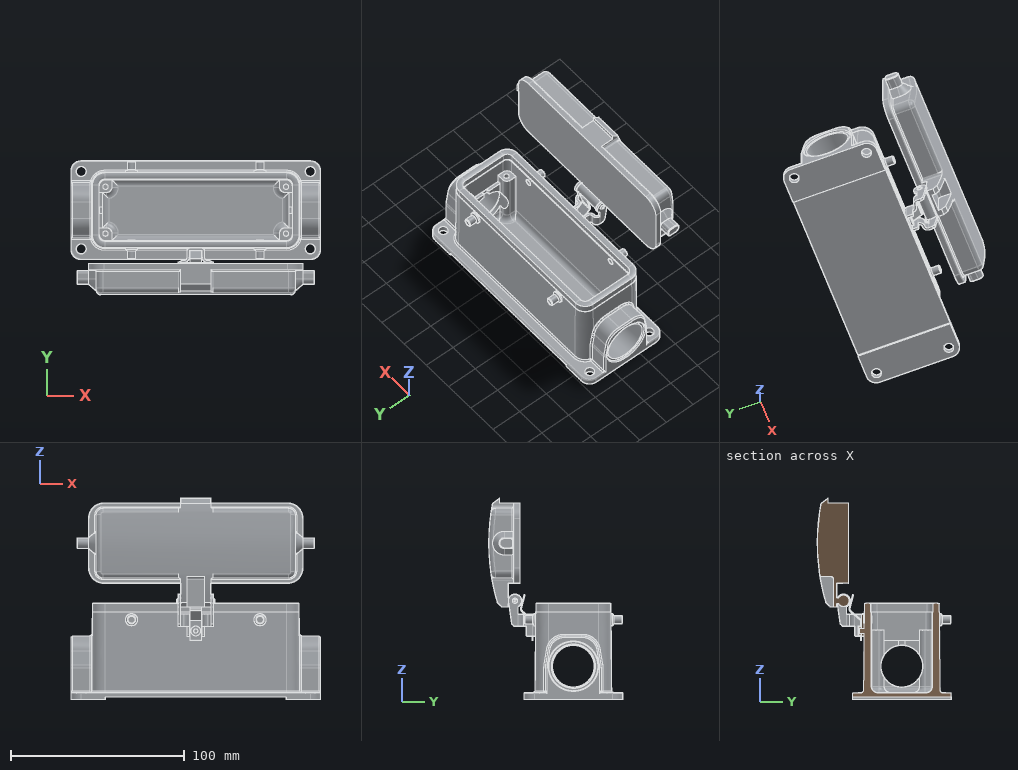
import cadquery as cq
import math

base_length = 144.0
base_width = 57.0
base_thickness = 4.0
base_corner_radius = 6.0
base_edge_radius = 0.5
foot_inner_x = 52.0
underside_relief = 1.4
mount_hole_diameter = 5.6
mount_hole_x = 66.0
mount_hole_y = 22.3

wall_length = 120.0
wall_width = 44.3
wall_corner_radius = 7.7
wall_draft = 0.5
wall_foot_radius = 0.9
rim_step_z = 50.4
rim_length = 119.0
rim_width = 43.2
housing_top = 55.75
rim_corner_radius = 7.2
rim_thickness = 3.7
rim_crown = 0.4

cavity_length = 111.2
cavity_width = 35.0
cavity_corner_radius = 3.5
lower_corner_radius = 3.7
cavity_floor_z = 4.0
floor_fillet = 3.6
ledge_x = 53.7
ledge_top = 34.0
ledge_slot_width = 3.6
ledge_slot_depth = 1.7

boss_x = 52.0
boss_y = 13.5
boss_top = 40.0
boss_inner_x = 48.3
boss_inner_y = 10.2
boss_corner_radius = 3.0
boss_hole_diameter = 3.05
boss_hole_depth = 12.0

hub_half_width = 16.1
hub_vertical_top = 18.1
hub_side_flat_top = 19.9
hub_shoulder_y = 14.6
hub_shoulder_z = 28.0
hub_flat_half = 4.65
hub_top = 36.6
hub_chamfer = 0.9
hub_flare = 1.0
hub_foot = 0.9
bore_z = 19.2
bore_mouth_diameter = 29.0
bore_mouth_inner_diameter = 28.3
bore_mouth_depth = 1.0
bore_diameter = 25.5
bore_step_x = 56.6
bore_wall_diameter = 24.0

peg_x = 37.0
peg_z = 46.0
peg_tip_y = 28.3
peg_diameter = 4.8
peg_tip_diameter = 4.0
peg_collar_diameter = 7.0
peg_inner_diameter = 4.0
peg_inner_proud = 0.2
peg_collar_end_y = 22.6
peg_cone_end_y = 23.4

lid_back_y = -30.7
lid_flange_front_y = -34.5
lid_apex_y = -48.79
lid_face_radius = 120.0
lid_center_z = 90.1
lid_flange_length = 123.6
lid_flange_height = 46.4
lid_flange_radius = 9.0
lid_flange_edge = 0.4
lid_body_length = 114.8
lid_body_height = 40.2
lid_body_radius = 4.0
lid_face_fillet = 2.7
lid_step = 0.8

lid_tab_width = 17.4
lid_tab_fillet = 1.2
hook_tip_y = -42.5
hook_tip_z = 116.08
hook_root_z = 112.9
arm_back_y = -37.4
arm_bottom_z = 53.3
arm_corner_radius = 2.5
arm_groove_width = 10.2
arm_groove_top = 70.8
arm_groove_floor_y = -39.4
arm_groove_fillet = 1.6

lid_pin_end_x = 68.5
lid_pin_radius = 3.1
lid_pin_y = -39.7
lid_pin_back_y = -34.7
lid_pin_back_radius = 1.5
lid_pin_chamfer = 0.4
lid_pin_cone_radius = 7.6
lid_pin_cone_start_x = 56.5
lid_pin_cone_end_x = 61.8

hinge_y = -33.6
hinge_z = 56.9
hinge_pin_diameter = 3.0
hinge_pin_half_length = 11.0
hinge_pin_chamfer = 0.8
knuckle_radius = 3.4
ear_radius = 3.87

sheet = 1.45
bracket_back_y = -21.9
channel_half_width = 5.1
channel_bottom = 36.4
wing_back_y = -28.8
wing_bottom = 42.2
wing_top = 49.2
ear_outer_x = 10.15
ear_front_y = -35.6
sheet_bend = 1.6
channel_front_y = wing_back_y + sheet_bend
ear_back_y = wing_back_y - sheet - sheet_bend
ear_toe_chamfer = 1.4

spring_half_width = 3.4
spring_sheet = 0.6
spring_bottom = 34.2
spring_foot_top = 45.8
spring_knee_y = -29.9
spring_knee_z = 51.2
spring_turn_y = -30.2
spring_turn_z = 52.2
spring_tip_y = -28.2
spring_tip_z = 60.1
rivet_z = 39.5
rivet_diameter = 3.0
rivet_head_diameter = 5.6
rivet_head_height = 1.2
rivet_dimple_diameter = 2.4
rivet_dimple_depth = 0.6


def rounded_block(length, width, radius, bottom, height, taper=0):
    """Upright block with rounded vertical corners."""
    outline = cq.Workplane("XY").workplane(offset=bottom).sketch().rect(length, width)
    return outline.vertices().fillet(radius).finalize().extrude(height, taper=taper)


def front_block(length, height, radius, back_y, front_y, taper=0):
    """Block with rounded corners in XZ, centred on the lid and reaching toward -Y."""
    outline = cq.Workplane("XZ", origin=(0, back_y, lid_center_z)).sketch().rect(length, height)
    return outline.vertices().fillet(radius).finalize().extrude(back_y - front_y, taper=taper)


def y_cylinder(x, z, diameter, start_y, end_y):
    """Cylinder along Y between two Y values."""
    disc = cq.Workplane("XZ", origin=(x, start_y, z)).circle(diameter / 2)
    return disc.extrude(start_y - end_y)


def housing_shell():
    base = rounded_block(base_length, base_width, base_corner_radius, 0, base_thickness)
    base = base.faces(">Z").edges().fillet(base_edge_radius)
    relief = cq.Workplane("XY").box(2 * foot_inner_x, base_width, underside_relief,
                                    centered=(True, True, False))
    wall = rounded_block(wall_length, wall_width, wall_corner_radius, base_thickness,
                         rim_step_z - base_thickness, wall_draft)
    foot = rounded_block(wall_length + 2 * wall_foot_radius, wall_width + 2 * wall_foot_radius,
                         wall_corner_radius + wall_foot_radius, base_thickness, wall_foot_radius, 45)
    return base.cut(relief).union(wall).union(foot)


def housing_rim():
    """Ring on top of the walls, with a shallow rounded crown."""
    middle_y = (rim_width - rim_thickness) / 2
    path_radius = rim_corner_radius - rim_thickness / 2
    path = cq.Workplane("XY", origin=(0, 0, rim_step_z)).sketch()
    path = path.rect(rim_length - rim_thickness, rim_width - rim_thickness).vertices().fillet(path_radius)
    path = path.finalize().extrude(1).faces("<Z").wires()
    edge_z = housing_top - rim_crown
    profile = (
        cq.Workplane("YZ", origin=(0, middle_y, 0))
        .moveTo(-rim_thickness / 2, rim_step_z)
        .lineTo(rim_thickness / 2, rim_step_z)
        .lineTo(rim_thickness / 2, edge_z)
        .threePointArc((0, housing_top), (-rim_thickness / 2, edge_z))
        .close()
    )
    return profile.sweep(path)


def housing_cavity():
    """Hollow of the housing below the rim, with the corner bosses left standing."""
    upper = rounded_block(cavity_length, cavity_width, cavity_corner_radius, ledge_top,
                          rim_step_z - ledge_top)
    lower = rounded_block(2 * ledge_x, cavity_width, lower_corner_radius, cavity_floor_z,
                          ledge_top - cavity_floor_z)
    lower = lower.faces("<Z").edges().fillet(floor_fillet)
    return lower.union(upper).cut(corner_bosses())


def ledge_slot(side):
    slot = cq.Workplane("XY").box(ledge_slot_depth, ledge_slot_width, ledge_top - bore_z,
                                  centered=(True, True, False))
    return slot.translate((side * (ledge_x + ledge_slot_depth / 2), 0, bore_z))


def corner_bosses():
    """Screw bosses for the four inner corners, each on a floor pad with a fillet at its foot."""
    size_x = 2 * (boss_x - boss_inner_x) + boss_corner_radius
    size_y = 2 * (boss_y - boss_inner_y) + boss_corner_radius
    boss = rounded_block(size_x, size_y, boss_corner_radius, cavity_floor_z, boss_top - cavity_floor_z)
    pad = cq.Workplane("XY").box(size_x + 3 * floor_fillet, size_y + 3 * floor_fillet, cavity_floor_z,
                                 centered=(True, True, False))
    boss = pad.union(boss)
    foot = cq.selectors.BoxSelector((-size_x / 2 - 1, -size_y / 2 - 1, cavity_floor_z - 1),
                                    (size_x / 2 + 1, size_y / 2 + 1, cavity_floor_z + 1))
    boss = boss.edges(foot).fillet(floor_fillet)
    bosses = cq.Workplane("XY")
    for side_x in (-1, 1):
        for side_y in (-1, 1):
            center_x = side_x * (boss_inner_x + size_x / 2)
            center_y = side_y * (boss_inner_y + size_y / 2)
            bosses = bosses.add(boss.translate((center_x, center_y, 0)))
    return bosses.combine()


def boss_holes():
    plane = cq.Workplane("XY", origin=(0, 0, boss_top))
    points = plane.rect(2 * boss_x, 2 * boss_y, forConstruction=True).vertices()
    return points.circle(boss_hole_diameter / 2).extrude(-boss_hole_depth)


def hub_outline(plane):
    """Closed arch-shaped outline of the cable entry hub."""
    corner = math.sqrt(0.5)
    arc_y = hub_flat_half + (hub_shoulder_y - hub_flat_half) * corner
    arc_z = hub_shoulder_z + (hub_top - hub_shoulder_z) * corner
    lean = (hub_half_width - hub_shoulder_y) / (hub_shoulder_z - hub_vertical_top)
    side_y = hub_half_width - lean * (hub_side_flat_top - hub_vertical_top) / 2
    return (
        plane.moveTo(-hub_half_width, 0)
        .lineTo(-hub_half_width, hub_vertical_top)
        .lineTo(-side_y, hub_side_flat_top)
        .lineTo(-hub_shoulder_y, hub_shoulder_z)
        .threePointArc((-arc_y, arc_z), (-hub_flat_half, hub_top))
        .lineTo(hub_flat_half, hub_top)
        .threePointArc((arc_y, arc_z), (hub_shoulder_y, hub_shoulder_z))
        .lineTo(side_y, hub_side_flat_top)
        .lineTo(hub_half_width, hub_vertical_top)
        .lineTo(hub_half_width, 0)
        .close()
    )


def cable_hub():
    """Hub on the +X end."""
    start_x = cavity_length / 2 + 1
    end_x = base_length / 2
    hub = hub_outline(cq.Workplane("YZ", origin=(start_x, 0, 0))).extrude(end_x - start_x)
    hub = hub.faces(">X").edges("not <Z").chamfer(hub_chamfer)
    flare = hub_outline(cq.Workplane("YZ", origin=(wall_length / 2, 0, 0))).offset2D(hub_flare)
    flare = flare.extrude(hub_flare, taper=45)
    foot = (
        cq.Workplane("YZ", origin=(start_x, 0, base_thickness))
        .moveTo(-hub_half_width - hub_foot, 0)
        .lineTo(-hub_half_width, hub_foot)
        .lineTo(hub_half_width, hub_foot)
        .lineTo(hub_half_width + hub_foot, 0)
        .close()
        .extrude(end_x - start_x - base_edge_radius)
    )
    below = cq.Workplane("XY").box(base_length, base_width, 2 * underside_relief)
    return hub.union(flare.cut(below)).union(foot)


def cable_bore():
    """Stepped bore of the +X cable entry, wide mouth outside."""
    end_x = base_length / 2
    plane = cq.Workplane("YZ", origin=(0, 0, bore_z))
    bore = plane.workplane(offset=boss_inner_x).circle(bore_wall_diameter / 2).extrude(end_x - boss_inner_x)
    wide = plane.workplane(offset=bore_step_x).circle(bore_diameter / 2).extrude(end_x - bore_step_x)
    mouth = plane.workplane(offset=end_x - bore_mouth_depth).circle(bore_mouth_inner_diameter / 2)
    mouth = mouth.workplane(offset=bore_mouth_depth).circle(bore_mouth_diameter / 2).loft()
    return bore.union(wide).union(mouth)


def latch_peg(x, side):
    """Latch peg with a collar on the long wall; side is the sign of Y."""
    inner_end = cavity_width / 2 - peg_inner_proud
    root = rim_width / 2 - rim_thickness / 2
    chamfer = (peg_diameter - peg_tip_diameter) / 2
    profile = [
        (0, inner_end),
        (peg_inner_diameter / 2, inner_end),
        (peg_inner_diameter / 2, root),
        (peg_collar_diameter / 2, root),
        (peg_collar_diameter / 2, peg_collar_end_y),
        (peg_diameter / 2, peg_cone_end_y),
        (peg_diameter / 2, peg_tip_y - chamfer),
        (peg_tip_diameter / 2, peg_tip_y),
        (0, peg_tip_y),
    ]
    peg = cq.Workplane("XY").polyline(profile).close().revolve(360, (0, 0, 0), (0, 1, 0))
    if side < 0:
        peg = peg.mirror("XZ")
    return peg.translate((x, 0, peg_z))


def bracket_rivet():
    """Headed rivet on the front wall that holds the bracket and the spring."""
    seat_y = bracket_back_y - sheet - spring_sheet
    shank = y_cylinder(0, rivet_z, rivet_diameter, -cavity_width / 2, seat_y)
    head_y = seat_y - rivet_head_height
    head = y_cylinder(0, rivet_z, rivet_head_diameter, seat_y, head_y)
    dimple = y_cylinder(0, rivet_z, rivet_dimple_diameter, head_y + rivet_dimple_depth, head_y)
    return shank.union(head).cut(dimple)


def make_housing():
    housing = housing_shell()
    hub = cable_hub()
    housing = housing.union(hub).union(hub.mirror("YZ"))
    housing = housing.cut(housing_cavity()).union(housing_rim()).cut(boss_holes())
    for side in (-1, 1):
        housing = housing.cut(ledge_slot(side))
    bore = cable_bore()
    housing = housing.cut(bore).cut(bore.mirror("YZ"))
    holes = cq.Workplane("XY").rect(2 * mount_hole_x, 2 * mount_hole_y, forConstruction=True).vertices()
    housing = housing.cut(holes.circle(mount_hole_diameter / 2).extrude(base_thickness))
    for x in (-peg_x, peg_x):
        for side in (-1, 1):
            housing = housing.union(latch_peg(x, side))
    return housing.union(bracket_rivet())


def lid_face_y(z):
    """Y of the arched lid face at height z."""
    rise = math.sqrt(lid_face_radius ** 2 - (z - lid_center_z) ** 2)
    return lid_apex_y + lid_face_radius - rise


def face_arch():
    """Wide cylinder along X whose -Y side is the arched lid face."""
    center_y = lid_apex_y + lid_face_radius
    arch = cq.Workplane("YZ", origin=(-lid_body_length, center_y, lid_center_z)).circle(lid_face_radius)
    return arch.extrude(2 * lid_body_length)


def lid_body():
    outline = front_block(lid_body_length, lid_body_height, lid_body_radius,
                          lid_flange_front_y, lid_apex_y - 1)
    body = outline.intersect(face_arch())
    return body.faces("<Y").edges().fillet(lid_face_fillet)


def lid_tab():
    """Hook, middle band and hinge arm, one constant profile across X."""
    flange_top = lid_center_z + lid_flange_height / 2
    flange_bottom = lid_center_z - lid_flange_height / 2
    arm_front_z = arm_bottom_z + arm_corner_radius
    arm_front_y = lid_face_y(arm_front_z)
    return (
        cq.Workplane("YZ", origin=(-lid_tab_width / 2, 0, 0))
        .moveTo(lid_back_y, flange_top)
        .lineTo(hook_tip_y, flange_top)
        .lineTo(hook_tip_y, hook_tip_z)
        .lineTo(lid_face_y(hook_root_z), hook_root_z)
        .threePointArc((lid_apex_y, lid_center_z), (arm_front_y, arm_front_z))
        .lineTo(arm_front_y + arm_corner_radius, arm_bottom_z)
        .lineTo(arm_back_y, arm_bottom_z)
        .lineTo(arm_back_y, flange_bottom)
        .lineTo(lid_back_y, flange_bottom)
        .close()
        .extrude(lid_tab_width)
    )


def arm_groove():
    """Groove down the front of the hinge arm, rounded at its upper inner edge."""
    groove_height = arm_groove_top - arm_bottom_z
    groove_depth = arm_groove_floor_y - lid_apex_y
    groove = cq.Workplane("XY").box(arm_groove_width, groove_depth, groove_height)
    groove = groove.edges(">Y and >Z").fillet(arm_groove_fillet)
    groove_center = (0, (arm_groove_floor_y + lid_apex_y) / 2, arm_bottom_z + groove_height / 2)
    return groove.translate(groove_center)


def lid_pin_outline(plane, radius):
    """Half-round outline with straight sides running back to the flange."""
    return (
        plane.moveTo(lid_pin_back_y, lid_center_z - radius)
        .lineTo(lid_pin_y, lid_center_z - radius)
        .threePointArc((lid_pin_y - radius, lid_center_z), (lid_pin_y, lid_center_z + radius))
        .lineTo(lid_pin_back_y, lid_center_z + radius)
        .close()
    )


def lid_pin():
    """Latch pin with its conical root on the +X end of the lid."""
    pin = lid_pin_outline(cq.Workplane("YZ", origin=(lid_pin_cone_start_x, 0, 0)), lid_pin_radius)
    pin = pin.extrude(lid_pin_end_x - lid_pin_cone_start_x)
    pin = pin.edges("|X and >Y").fillet(lid_pin_back_radius)
    pin = pin.faces(">X").edges().chamfer(lid_pin_chamfer)
    root = lid_pin_outline(cq.Workplane("YZ", origin=(lid_pin_cone_start_x, 0, 0)), lid_pin_cone_radius)
    root = root.workplane(offset=lid_pin_cone_end_x - lid_pin_cone_start_x)
    root = lid_pin_outline(root, lid_pin_radius).loft(ruled=True)
    return pin.union(root)


def lid_hinge():
    """Knuckle between the bracket ears, with the pin that passes through them."""
    knuckle = cq.Workplane("YZ", origin=(-lid_tab_width / 2, hinge_y, hinge_z)).circle(knuckle_radius)
    knuckle = knuckle.extrude(lid_tab_width)
    web = cq.Workplane("XY").box(lid_tab_width, hinge_y - arm_groove_floor_y, knuckle_radius)
    web = web.translate((0, (hinge_y + arm_groove_floor_y) / 2, hinge_z))
    pin = cq.Workplane("YZ", origin=(-hinge_pin_half_length, hinge_y, hinge_z)).circle(hinge_pin_diameter / 2)
    pin = pin.extrude(2 * hinge_pin_half_length)
    pin = pin.faces("<X or >X").edges().chamfer(hinge_pin_chamfer)
    return knuckle.union(web).union(pin)


def tab_blend():
    """Thin band that fillets the tab sides into the top and bottom of the body."""
    half_x = lid_tab_width / 2 + lid_tab_fillet
    half_z = lid_body_height / 2 + lid_tab_fillet
    depth = lid_flange_front_y - lid_apex_y
    plane = cq.Workplane("XZ", origin=(0, lid_flange_front_y, lid_center_z))
    band = plane.rect(2 * half_x, 2 * half_z).extrude(depth)
    corners = plane.rect(2 * half_x, 2 * half_z, forConstruction=True).vertices()
    band = band.cut(corners.circle(lid_tab_fillet).extrude(depth))
    return band.intersect(face_arch())


def make_lid():
    flange = front_block(lid_flange_length, lid_flange_height, lid_flange_radius,
                         lid_back_y, lid_flange_front_y)
    flange = flange.faces("<Y").edges().fillet(lid_flange_edge)
    step = front_block(lid_body_length + 2 * lid_step, lid_body_height + 2 * lid_step,
                       lid_body_radius + lid_step, lid_flange_front_y, lid_flange_front_y - lid_step, 45)
    pin = lid_pin()
    lid = flange.union(step)
    lid = lid.union(lid_body()).union(tab_blend()).union(lid_tab()).cut(arm_groove())
    return lid.union(pin).union(pin.mirror("YZ")).union(lid_hinge())


def bracket_channel():
    depth = bracket_back_y - channel_front_y
    outer = cq.Workplane("XY").box(2 * channel_half_width, depth, wing_top - channel_bottom)
    outer = outer.edges("|Z and >Y").fillet(sheet_bend)
    outer = outer.edges("|X and <Y and <Z").fillet(sheet_bend / 2)
    inner = cq.Workplane("XY").box(2 * (channel_half_width - sheet), depth, wing_top)
    channel = outer.cut(inner.translate((0, -sheet, 0)))
    return channel.translate((0, bracket_back_y - depth / 2, (wing_top + channel_bottom) / 2))


def bracket_wing():
    """Wing on the +X side: from the channel wall outward and round to the ear."""
    inner_x = channel_half_width - sheet
    wing_front_y = wing_back_y - sheet
    large_bend = sheet_bend + sheet
    bend_y = channel_front_y
    bend_x = channel_half_width + sheet_bend
    ear_bend_x = ear_outer_x - large_bend
    diagonal = math.sqrt(0.5)
    return (
        cq.Workplane("XY", origin=(0, 0, wing_bottom))
        .moveTo(inner_x, bend_y)
        .lineTo(channel_half_width, bend_y)
        .threePointArc((bend_x - sheet_bend * diagonal, bend_y - sheet_bend * diagonal),
                       (bend_x, wing_back_y))
        .lineTo(ear_bend_x, wing_back_y)
        .threePointArc((ear_bend_x + large_bend * diagonal, ear_back_y + large_bend * diagonal),
                       (ear_outer_x, ear_back_y))
        .lineTo(ear_outer_x - sheet, ear_back_y)
        .threePointArc((ear_bend_x + sheet_bend * diagonal, ear_back_y + sheet_bend * diagonal),
                       (ear_bend_x, wing_front_y))
        .lineTo(bend_x, wing_front_y)
        .threePointArc((bend_x - large_bend * diagonal, bend_y - large_bend * diagonal), (inner_x, bend_y))
        .close()
        .extrude(wing_top - wing_bottom)
    )


def bracket_ear():
    """Upright ear on the +X side with the hole for the hinge pin."""
    ear_x = ear_outer_x - sheet
    arm = (
        cq.Workplane("YZ", origin=(ear_x, 0, 0))
        .moveTo(ear_back_y, wing_bottom)
        .lineTo(ear_front_y + ear_toe_chamfer, wing_bottom)
        .lineTo(ear_front_y, wing_bottom + ear_toe_chamfer)
        .lineTo(hinge_y - ear_radius, hinge_z)
        .lineTo(ear_back_y, hinge_z)
        .close()
        .extrude(sheet)
    )
    eye = cq.Workplane("YZ", origin=(ear_x, hinge_y, hinge_z)).circle(ear_radius).extrude(sheet)
    hole = cq.Workplane("YZ", origin=(ear_x, hinge_y, hinge_z)).circle(hinge_pin_diameter / 2).extrude(sheet)
    return arm.union(eye).cut(hole)


def make_bracket():
    side = bracket_wing().union(bracket_ear())
    bracket = bracket_channel().union(side).union(side.mirror("YZ"))
    return bracket.cut(y_cylinder(0, rivet_z, rivet_diameter, bracket_back_y, bracket_back_y - sheet))


def make_spring():
    """Bent leaf spring riveted in the channel, leaning up behind the hinge knuckle."""
    back_y = bracket_back_y - sheet
    center_y = back_y - spring_sheet / 2
    path = (
        cq.Workplane("YZ", origin=(-spring_half_width, 0, 0))
        .moveTo(center_y, spring_bottom)
        .lineTo(center_y, spring_foot_top)
        .lineTo(spring_knee_y, spring_knee_z)
        .lineTo(spring_turn_y, spring_turn_z)
        .lineTo(spring_tip_y, spring_tip_z)
    )
    leaf = path.offset2D(spring_sheet / 2).extrude(2 * spring_half_width)
    return leaf.cut(y_cylinder(0, rivet_z, rivet_diameter, back_y, back_y - spring_sheet))


housing = make_housing()
lid = make_lid()
bracket = make_bracket()
spring = make_spring()

bodies = [housing, lid, bracket, spring]
result = cq.Compound.makeCompound([body.solids().val() for body in bodies])